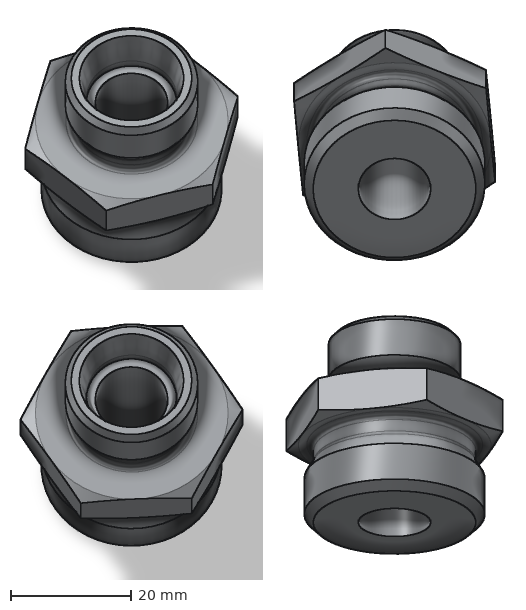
import cadquery as cq
import math

total_height = 33.0
hex_bottom = 14.0
hex_top = 21.0

hex_corners = 36.95
hex_flats = hex_corners * math.cos(math.radians(30))
hex_chamfer_angle = 15.0
hex_chamfer_overrun = 0.37

lower_diameter = 30.0
lower_groove_diameter = 27.0
lower_chamfer = (lower_diameter - lower_groove_diameter) / 2
lower_land_length = 7.95
lower_cone_fillet = 1.15

upper_diameter = 22.0
upper_groove_diameter = 19.7
upper_chamfer = 1.0
upper_land_length = 7.43
upper_cone_fillet = 0.92

groove_cone_angle = 30.0
hex_fillet = 1.1

bore_diameter = 12.0
socket_diameter = 15.0
socket_depth = 7.0
mouth_diameter = 17.33
mouth_cone_angle = 12.0


def make_hexagon():
    """Hexagon with corners on Y, both faces turned to a shallow cone."""
    height = hex_top - hex_bottom
    prism = cq.Workplane("XY").workplane(offset=hex_bottom).polygon(6, hex_corners).extrude(height)
    prism = prism.rotate((0, 0, 0), (0, 0, 1), 30)
    face_radius = hex_flats / 2
    rim_radius = hex_corners / 2 + hex_chamfer_overrun
    drop = (rim_radius - face_radius) * math.tan(math.radians(hex_chamfer_angle))
    envelope = (
        cq.Workplane("XZ")
        .polyline([
            (0, hex_bottom),
            (face_radius, hex_bottom),
            (rim_radius, hex_bottom + drop),
            (rim_radius, hex_top - drop),
            (face_radius, hex_top),
            (0, hex_top),
        ])
        .close()
        .revolve(360, (0, 0, 0), (0, 1, 0))
    )
    return prism.intersect(envelope)


def make_end(hex_face, free_end, diameter, groove_diameter, chamfer, land_length, cone_fillet):
    """Turned end between a hexagon face and its free end, with a filleted groove at the hexagon."""
    outward = math.copysign(1, free_end - hex_face)
    radius = diameter / 2
    groove_radius = groove_diameter / 2
    cone = math.radians(groove_cone_angle)

    hex_arc_z = hex_face + outward * hex_fillet
    hex_arc_middle = hex_fillet * (1 - math.sqrt(0.5))

    land_start = free_end - outward * land_length
    cone_root = land_start - outward * (radius - groove_radius) / math.tan(cone)
    floor_end = cone_root - outward * cone_fillet * math.tan(cone / 2)

    def cone_arc_point(angle):
        return (
            groove_radius + cone_fillet * (1 - math.cos(angle)),
            floor_end + outward * cone_fillet * math.sin(angle),
        )

    return (
        cq.Workplane("XZ")
        .moveTo(0, hex_face)
        .lineTo(groove_radius + hex_fillet, hex_face)
        .threePointArc(
            (groove_radius + hex_arc_middle, hex_face + outward * hex_arc_middle),
            (groove_radius, hex_arc_z),
        )
        .lineTo(groove_radius, floor_end)
        .threePointArc(cone_arc_point(cone / 2), cone_arc_point(cone))
        .lineTo(radius, land_start)
        .lineTo(radius, free_end - outward * chamfer)
        .lineTo(radius - chamfer, free_end)
        .lineTo(0, free_end)
        .close()
        .revolve(360, (0, 0, 0), (0, 1, 0))
    )


def make_bore():
    """Through bore with a flat-bottomed tube socket and a conical mouth at the top."""
    mouth_radius = mouth_diameter / 2
    socket_radius = socket_diameter / 2
    mouth_depth = (mouth_radius - socket_radius) / math.tan(math.radians(mouth_cone_angle))
    return (
        cq.Workplane("XZ")
        .polyline([
            (0, 0),
            (bore_diameter / 2, 0),
            (bore_diameter / 2, total_height - socket_depth),
            (socket_radius, total_height - socket_depth),
            (socket_radius, total_height - mouth_depth),
            (mouth_radius, total_height),
            (0, total_height),
        ])
        .close()
        .revolve(360, (0, 0, 0), (0, 1, 0))
    )


lower_end = make_end(
    hex_bottom, 0, lower_diameter, lower_groove_diameter,
    lower_chamfer, lower_land_length, lower_cone_fillet,
)
upper_end = make_end(
    hex_top, total_height, upper_diameter, upper_groove_diameter,
    upper_chamfer, upper_land_length, upper_cone_fillet,
)
result = make_hexagon().union(lower_end).union(upper_end).cut(make_bore())